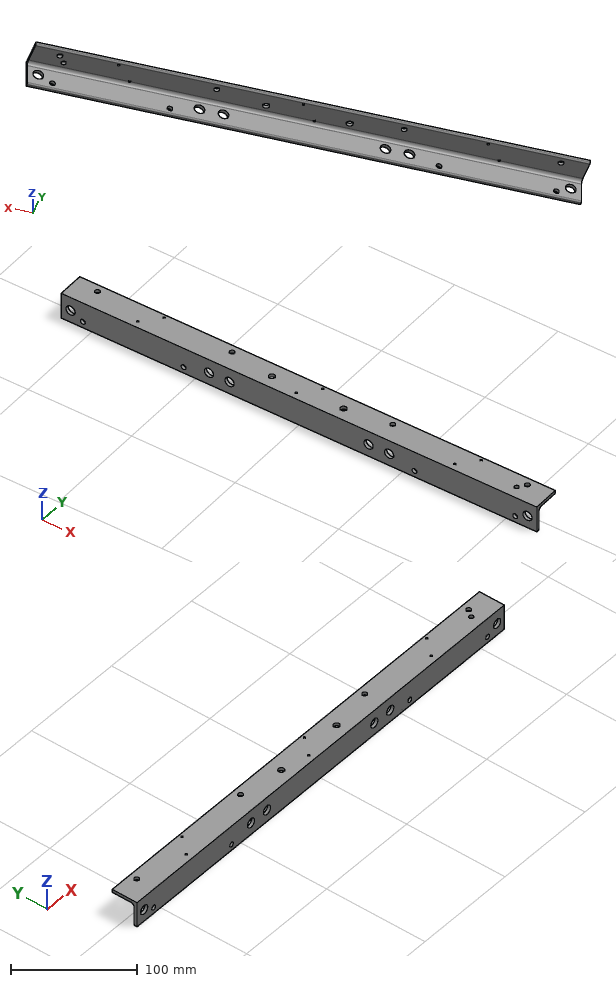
import cadquery as cq

length = 459.25
leg = 25.4
wall = 3.175
tip_radius = 1.2
inner_radius = wall

half_leg = leg / 2
front_face = -half_leg
rear_edge = half_leg
top_face = half_leg
bottom_edge = -half_leg

mount_diameter = 8.73
mount_z = bottom_edge + 12.0
mount_end_distance = 9.0
mount_offsets = [67.1, 87.0, length / 2 - mount_end_distance]
screw_diameter = 4.5
screw_z = bottom_edge + 6.1
screw_offsets = [111.5, 208.75]

rivet_diameter = 4.5
rivet_y = rear_edge - 7.0
rivet_offsets = [77.6, 207.6]
center_pair_diameter = 5.56
center_pair_y = front_face + 12.0
center_pair_offsets = [34.6]
single_diameter = 3.97
single_x = 202.2
single_y = front_face + 11.4

pilot_diameter = 1.78
pilot_count = 3
pilot_pitch = length / pilot_count
pilot_shift = 7.1
rear_pilot_y = rear_edge - 3.0
front_pilot_y = front_face + 6.4


def mirrored(offsets):
    """X positions at each offset on both sides of mid-length."""
    return [side * offset for offset in offsets for side in (-1, 1)]


def pilot_row(shift):
    """Evenly pitched X positions, moved along the bar by the shift."""
    return [(index - (pilot_count - 1) / 2) * pilot_pitch + shift for index in range(pilot_count)]


def fillet_long_edge(bar, y, z, radius):
    """Round the lengthwise edge at the given place in the cross-section."""
    edge = cq.selectors.NearestToPointSelector((0, y, z))
    return bar.edges(edge).fillet(radius)


def angle_bar():
    front_leg_back = front_face + wall
    top_leg_underside = top_face - wall
    bar = (
        cq.Workplane("YZ", origin=(-length / 2, 0, 0))
        .moveTo(front_face, top_face)
        .lineTo(rear_edge, top_face)
        .lineTo(rear_edge, top_leg_underside)
        .lineTo(front_leg_back, top_leg_underside)
        .lineTo(front_leg_back, bottom_edge)
        .lineTo(front_face, bottom_edge)
        .close()
        .extrude(length)
    )
    bar = fillet_long_edge(bar, front_leg_back, top_leg_underside, inner_radius)
    bar = fillet_long_edge(bar, rear_edge, top_leg_underside, tip_radius)
    return fillet_long_edge(bar, front_leg_back, bottom_edge, tip_radius)


def drill_front(bar, diameter, x_positions, z):
    """Through holes along Y in the front leg."""
    points = [(x, z) for x in x_positions]
    drills = (
        cq.Workplane("XZ", origin=(0, front_face, 0))
        .pushPoints(points)
        .circle(diameter / 2)
        .extrude(-wall)
    )
    return bar.cut(drills)


def drill_top(bar, diameter, x_positions, y):
    """Through holes along Z in the top leg."""
    points = [(x, y) for x in x_positions]
    drills = (
        cq.Workplane("XY", origin=(0, 0, top_face))
        .pushPoints(points)
        .circle(diameter / 2)
        .extrude(-wall)
    )
    return bar.cut(drills)


result = angle_bar()
result = drill_front(result, mount_diameter, mirrored(mount_offsets), mount_z)
result = drill_front(result, screw_diameter, mirrored(screw_offsets), screw_z)
result = drill_top(result, rivet_diameter, mirrored(rivet_offsets), rivet_y)
result = drill_top(result, center_pair_diameter, mirrored(center_pair_offsets), center_pair_y)
result = drill_top(result, single_diameter, [single_x], single_y)
result = drill_top(result, pilot_diameter, pilot_row(pilot_shift), rear_pilot_y)
result = drill_top(result, pilot_diameter, pilot_row(-pilot_shift), front_pilot_y)